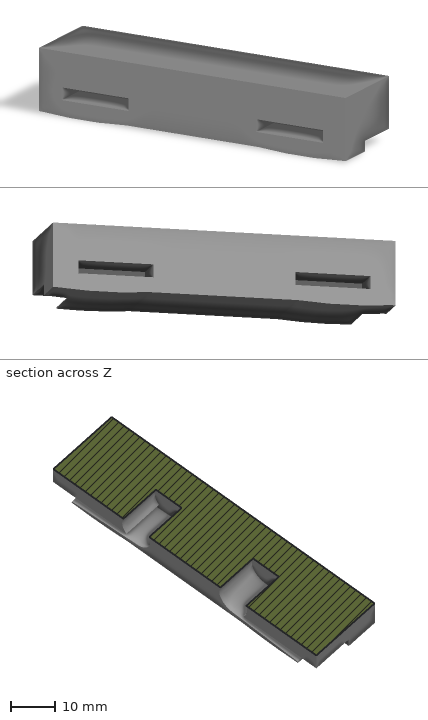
import cadquery as cq
import math

length = 80.0
width = 20.0
body_height = 15.0
full_height = 15.49

swell_centre_from_end = 11.8
swell_half_chord = 11.0

slot_length = 17.5
slot_height = 3.0
slot_depth = 8.0
slot_centre_from_end = 14.65
slot_centre_z = -10.0

recess_depth = 11.1
recess_ceiling_z = -12.5
bore_diameter = 8.5
tongue_tip_from_end = 6
tongue_tip_z = -14.85
tongue_root_from_end = 25.5
tongue_slope = math.radians(3.4)
tip_round = 0.4

half_length = length / 2
front_y = -width / 2
back_y = width / 2
recess_front_y = back_y - recess_depth
slot_overcut = 1.0


def extrude_along_y(profile, start_y, end_y):
    """Extrude a closed XZ profile from start_y towards +Y up to end_y."""
    return profile.extrude(start_y - end_y).translate((0, start_y, 0))


def make_body():
    """Block whose underside carries two shallow arcs."""
    swell_x = half_length - swell_centre_from_end
    inner_x = swell_x - swell_half_chord
    outer_x = swell_x + swell_half_chord
    profile = (
        cq.Workplane("XZ")
        .moveTo(-half_length, 0)
        .lineTo(-half_length, -body_height)
        .lineTo(-outer_x, -body_height)
        .threePointArc((-swell_x, -full_height), (-inner_x, -body_height))
        .lineTo(inner_x, -body_height)
        .threePointArc((swell_x, -full_height), (outer_x, -body_height))
        .lineTo(half_length, -body_height)
        .lineTo(half_length, 0)
        .close()
    )
    return extrude_along_y(profile, front_y, back_y)


def make_slot():
    """Cutter for the slot near the -X end."""
    slot_x = slot_centre_from_end - half_length
    return (
        cq.Workplane("XY")
        .box(slot_length, slot_depth + slot_overcut, slot_height)
        .translate((slot_x, front_y + (slot_depth - slot_overcut) / 2, slot_centre_z))
    )


def make_recess():
    """Cutter for the -X end recess: a sloping gap that runs into a round bore along Y."""
    end_x = -half_length
    tip_x = end_x + tongue_tip_from_end
    root_x = end_x + tongue_root_from_end
    root_z = tongue_tip_z + (root_x - tip_x) * math.tan(tongue_slope)

    bore_radius = bore_diameter / 2
    bore_x = root_x - bore_radius * math.sin(tongue_slope)
    bore_z = root_z + bore_radius * math.cos(tongue_slope)

    nose_x = tip_x - tip_round
    nose_z = tongue_tip_z - tip_round
    nose_mid_x = tip_x - tip_round * math.sin(math.pi / 4)
    nose_mid_z = nose_z + tip_round * math.cos(math.pi / 4)

    gap = (
        cq.Workplane("XZ")
        .moveTo(end_x, recess_ceiling_z)
        .lineTo(bore_x, recess_ceiling_z)
        .lineTo(root_x, root_z)
        .lineTo(tip_x, tongue_tip_z)
        .threePointArc((nose_mid_x, nose_mid_z), (nose_x, nose_z))
        .lineTo(nose_x, -full_height)
        .lineTo(end_x, -full_height)
        .close()
    )
    bore = cq.Workplane("XZ").center(bore_x, bore_z).circle(bore_radius)
    return extrude_along_y(gap, recess_front_y, back_y).union(extrude_along_y(bore, recess_front_y, back_y))


result = make_body()
for cutter in (make_slot(), make_recess()):
    result = result.cut(cutter).cut(cutter.mirror("YZ"))